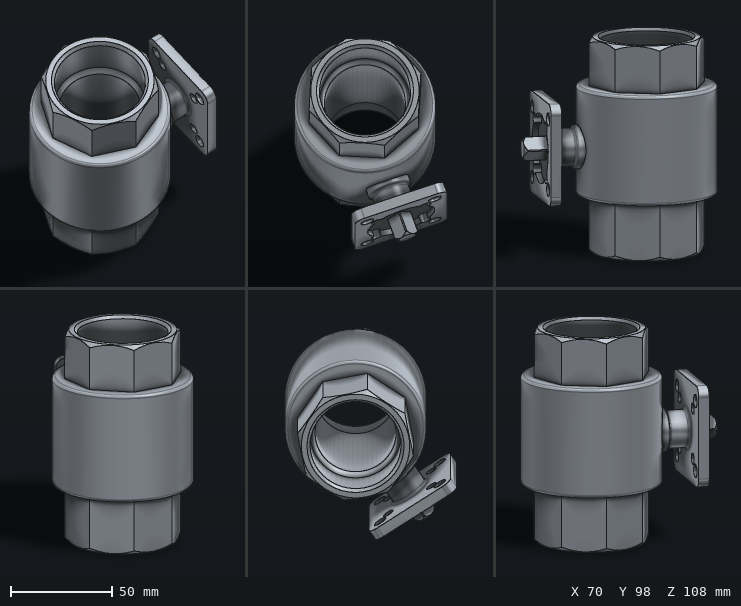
import cadquery as cq
import math

length = 108.0

body_diameter = 70.0
body_bottom = 29.0
body_top = 84.2
body_fillet = 1.5

across_flats = 54.0
corner_count = 8
across_corners = across_flats / math.cos(math.pi / corner_count)
end_face_diameter = 53.5
end_chamfer_height = 2.3

bore_diameter = 40.0
socket_diameter = 44.8
socket_depth = 19.5
mouth_chamfer = 1.5
socket_floor_drop = (socket_diameter - bore_diameter) / 2

stem_z = length / 2
collar_diameter = 22.0
collar_embed = 5.4
collar_start = body_diameter / 2 - collar_embed
collar_end = 37.4
collar_round = 0.5
neck_diameter = 19.0
step_fillet_radius = (collar_diameter - neck_diameter) / 2 - collar_round
plate_fillet_radius = 1.5

plate_front = 48.4
plate_back = 53.9
plate_width = 48.4
plate_height = 51.2
plate_corner_radius = 5.1
hole_patterns = [(36.0, 5.5), (50.0, 6.5)]
holes_per_circle = 4
diagonal_angle = 45.0
recess_diameter = 35.0
recess_depth = 3.0

drive_end = 63.0
drive_square = 9.0
drive_diameter = 12.0
drive_chamfer = 1.5


def revolve_profile(points):
    """Revolve (radius, height) points about the local vertical axis."""
    return cq.Workplane("XZ").polyline(points).close().revolve(360, (0, 0), (0, 1))


def cylinder_y(diameter, start, end):
    """Cylinder on the stem axis between two Y positions."""
    plane = cq.Workplane("XZ", origin=(0, start, stem_z))
    return plane.circle(diameter / 2).extrude(start - end)


def make_body():
    shell = cq.Workplane("XY").workplane(offset=body_bottom).circle(body_diameter / 2)
    return shell.extrude(body_top - body_bottom).edges().fillet(body_fillet)


def make_octagon():
    bar = cq.Workplane("XY").polygon(corner_count, across_corners).extrude(length)
    corner_radius = across_corners / 2
    face_radius = end_face_diameter / 2
    turned = revolve_profile([
        (0, 0),
        (face_radius, 0),
        (corner_radius, end_chamfer_height),
        (corner_radius, length - end_chamfer_height),
        (face_radius, length),
        (0, length),
    ])
    return bar.intersect(turned)


def make_bore():
    bore_radius = bore_diameter / 2
    socket_radius = socket_diameter / 2
    mouth_radius = socket_radius + mouth_chamfer
    floor_end = socket_depth + socket_floor_drop
    lower_half = [
        (mouth_radius, 0),
        (socket_radius, mouth_chamfer),
        (socket_radius, socket_depth),
        (bore_radius, floor_end),
    ]
    upper_half = [(radius, length - height) for radius, height in reversed(lower_half)]
    return revolve_profile([(0, 0)] + lower_half + upper_half + [(0, length)])


def make_neck():
    """Collar and neck, with a fillet at the step and a flare into the plate."""
    collar = cylinder_y(collar_diameter, collar_start, collar_end)
    collar = collar.faces(">Y").edges().fillet(collar_round)
    step_fillet = make_flare(collar_end, step_fillet_radius, 1)
    plate_fillet = make_flare(plate_front, plate_fillet_radius, -1)
    neck = cylinder_y(neck_diameter, collar_end, plate_front)
    return collar.union(neck).union(step_fillet).union(plate_fillet)


def make_flare(base, radius, direction):
    """Concave ring fillet around the neck, rising from Y = base along +Y (1) or -Y (-1)."""
    neck_radius = neck_diameter / 2
    tip = base + direction * radius
    arc_inset = radius * (1 - math.sqrt(0.5))
    section = (
        cq.Workplane("XY", origin=(0, 0, stem_z))
        .moveTo(0, base)
        .lineTo(neck_radius + radius, base)
        .threePointArc(
            (neck_radius + arc_inset, base + direction * arc_inset),
            (neck_radius, tip),
        )
        .lineTo(0, tip)
        .close()
    )
    return section.revolve(360, (0, 0), (0, 1))


def make_plate():
    plane = cq.Workplane("XZ", origin=(0, plate_front, stem_z))
    plate = plane.rect(plate_width, plate_height).extrude(plate_front - plate_back)
    return plate.edges("|Y").fillet(plate_corner_radius)


def make_mounting_holes():
    plane = cq.Workplane("XZ", origin=(0, plate_front, stem_z))
    holes = None
    for pitch_diameter, hole_diameter in hole_patterns:
        pattern = plane.polarArray(pitch_diameter / 2, diagonal_angle, 360, holes_per_circle)
        ring = pattern.circle(hole_diameter / 2).extrude(plate_front - plate_back)
        holes = holes.union(ring) if holes else ring
    return holes


def make_drive():
    """Square drive, corner up, with turned corners and a chamfered tip."""
    start = plate_back - recess_depth
    plane = cq.Workplane("XZ", origin=(0, start, stem_z)).transformed(rotate=(0, 0, diagonal_angle))
    square = plane.rect(drive_square, drive_square).extrude(start - drive_end)
    turned = cylinder_y(drive_diameter, start, drive_end).faces(">Y").chamfer(drive_chamfer)
    return square.intersect(turned)


outside = make_body().union(make_octagon()).union(make_neck()).union(make_plate())
recess = cylinder_y(recess_diameter, plate_back - recess_depth, plate_back)
result = outside.cut(recess).cut(make_mounting_holes()).union(make_drive()).cut(make_bore())